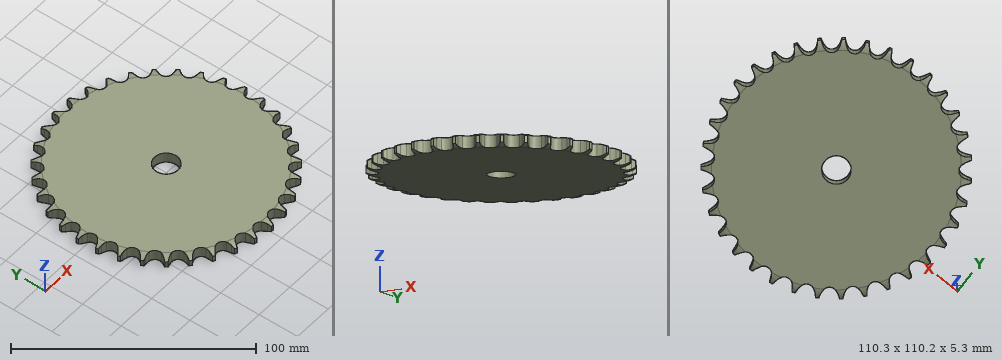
import cadquery as cq
import math

overall_width = 110.3
thickness = 5.3
bore_diameter = 12.0
tooth_count = 35
root_radius = 49.9
seat_radius = 3.2
seat_half_angle = 53.3
flank_radius = 8.3
flank_span = 17.6
tip_half_angle = 0.68
crown_radius = 8.5
crown_start_radius = 50.9

tooth_pitch = 360.0 / tooth_count
corner_angle = tooth_pitch / 4 - tip_half_angle
tip_radius = overall_width / 2 / math.cos(math.radians(corner_angle))
seat_center_radius = root_radius + seat_radius
half_thickness = thickness / 2


def crown_height(radius):
    """Height of the crowned tooth side above the mid plane at a given radius."""
    run = radius - crown_start_radius
    return half_thickness - crown_radius + math.sqrt(crown_radius**2 - run**2)


def make_blank():
    """Disc with crowned rim and bore, revolved about Z."""
    bore_radius = bore_diameter / 2
    mid_radius = (crown_start_radius + tip_radius) / 2
    mid_z = crown_height(mid_radius)
    tip_z = crown_height(tip_radius)
    return (
        cq.Workplane("XZ")
        .moveTo(bore_radius, -half_thickness)
        .lineTo(crown_start_radius, -half_thickness)
        .threePointArc((mid_radius, -mid_z), (tip_radius, -tip_z))
        .lineTo(tip_radius, tip_z)
        .threePointArc((mid_radius, mid_z), (crown_start_radius, half_thickness))
        .lineTo(bore_radius, half_thickness)
        .close()
        .revolve(360, (0, 0, 0), (0, 1, 0))
    )


def make_gap_cutter():
    """Tooth gap on +Y: roller seat, concave flanks and convex runs to the tooth tips."""
    seat_end_angle = math.radians(seat_half_angle)
    center_offset = flank_radius - seat_radius
    flank_center_x = -center_offset * math.sin(seat_end_angle)
    flank_center_y = seat_center_radius + center_offset * math.cos(seat_end_angle)

    def flank_point(flank_angle):
        angle = seat_end_angle + math.radians(flank_angle)
        return (
            flank_center_x + flank_radius * math.sin(angle),
            flank_center_y - flank_radius * math.cos(angle),
        )

    seat_mid = (
        seat_radius * math.sin(seat_end_angle / 2),
        seat_center_radius - seat_radius * math.cos(seat_end_angle / 2),
    )
    tip_angle = math.radians(tooth_pitch / 2 - tip_half_angle)
    tip_corner = (tip_radius * math.sin(tip_angle), tip_radius * math.cos(tip_angle))
    outer_y = tip_radius + seat_radius
    half_gap = (
        cq.Workplane("XY")
        .workplane(offset=-half_thickness)
        .moveTo(0, root_radius)
        .threePointArc(seat_mid, flank_point(0))
        .threePointArc(flank_point(flank_span / 2), flank_point(flank_span))
        .tangentArcPoint(tip_corner, relative=False)
        .lineTo(tip_corner[0], outer_y)
        .lineTo(0, outer_y)
        .close()
        .extrude(thickness)
    )
    return half_gap.union(half_gap.mirror("YZ"))


result = make_blank()
gap_cutter = make_gap_cutter()
for index in range(tooth_count):
    result = result.cut(gap_cutter.rotate((0, 0, 0), (0, 0, 1), index * tooth_pitch))